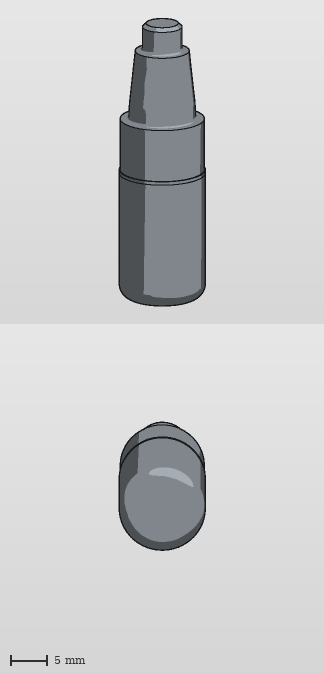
import cadquery as cq
import math

barrel_radius = 12.0 / 2
barrel_height = 18.02
bottom_fillet = 2.0

total_height = 39.7
flange_thickness = 0.48
collar_radius = 11.7 / 2
collar_top = 25.9
neck_base_radius = 4.65
neck_base_fillet = 0.35
neck_curve_height = 2.15
neck_taper = math.radians(6)
neck_top = 35.73
tip_radius = 5.5 / 2
tip_fillet = 0.48
tip_chamfer = 0.5

flange_top = barrel_height + flange_thickness
curve_bottom = collar_top + neck_base_fillet
cone_bottom = curve_bottom + neck_curve_height
curve_radius = neck_curve_height / math.sin(neck_taper)
curve_center = neck_base_radius - curve_radius
cone_base_radius = curve_center + curve_radius * math.cos(neck_taper)
curve_middle = (
    curve_center + curve_radius * math.cos(neck_taper / 2),
    curve_bottom + curve_radius * math.sin(neck_taper / 2),
)
cone_top_radius = cone_base_radius - (neck_top - cone_bottom) * math.tan(neck_taper)


def concave_fillet(profile, wall_radius, floor_level, size):
    """Draw a concave quarter round from a flat floor up to a vertical wall."""
    inset = size * (1 - math.sqrt(0.5))
    return (
        profile.lineTo(wall_radius + size, floor_level)
        .threePointArc(
            (wall_radius + inset, floor_level + inset),
            (wall_radius, floor_level + size),
        )
    )


def make_barrel():
    """Solid cylinder rounded around its bottom edge."""
    cylinder = cq.Workplane("XY").circle(barrel_radius).extrude(barrel_height)
    return cylinder.faces("<Z").edges().fillet(bottom_fillet)


def make_nozzle():
    """Turned nozzle whose flange rests flush on the barrel."""
    profile = (
        cq.Workplane("XZ")
        .moveTo(0, barrel_height)
        .lineTo(barrel_radius, barrel_height)
        .lineTo(barrel_radius, flange_top)
        .lineTo(collar_radius, flange_top)
        .lineTo(collar_radius, collar_top)
    )
    profile = concave_fillet(profile, neck_base_radius, collar_top, neck_base_fillet)
    profile = (
        profile.threePointArc(curve_middle, (cone_base_radius, cone_bottom))
        .lineTo(cone_top_radius, neck_top)
    )
    profile = concave_fillet(profile, tip_radius, neck_top, tip_fillet)
    profile = (
        profile.lineTo(tip_radius, total_height - tip_chamfer)
        .lineTo(tip_radius - tip_chamfer, total_height)
        .lineTo(0, total_height)
        .close()
    )
    return profile.revolve(360, (0, 0, 0), (0, 1, 0))


barrel = make_barrel()
nozzle = make_nozzle()
result = cq.Compound.makeCompound([barrel.val(), nozzle.val()])